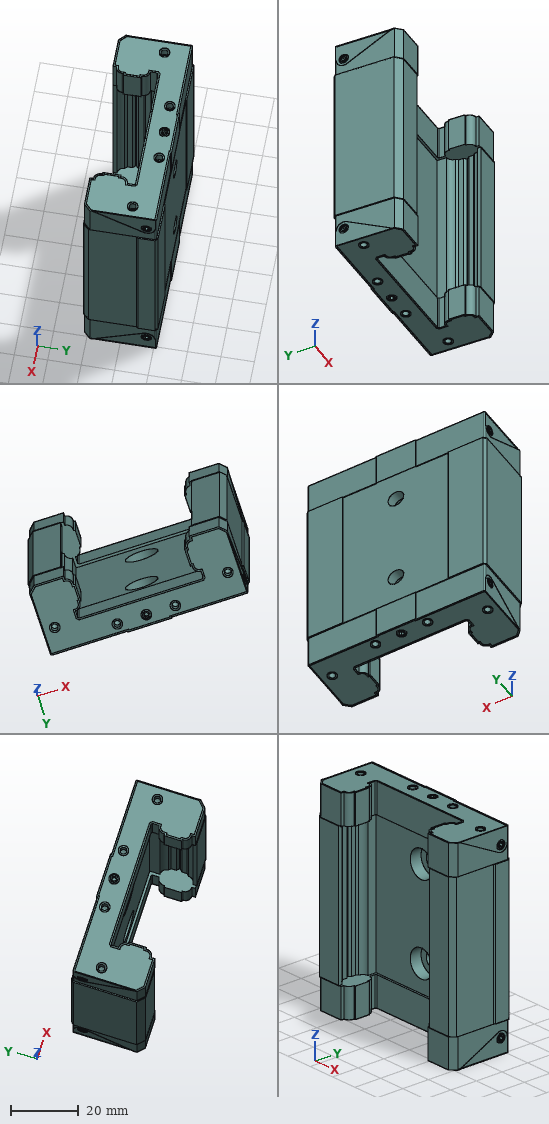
import cadquery as cq
import math

LENGTH = 73.05
CAP_LENGTH = 10.8
BLOCK_LENGTH = LENGTH - 2 * CAP_LENGTH
BLOCK_TOP = BLOCK_LENGTH / 2
BLOCK_HALF_WIDTH = 62.0 / 2
BACK_Y = 22.5 / 2
FRONT_Y = -BACK_Y
RAIL_AXIS_Y = -4.9

BLOCK_FRONT_CHAMFER = 2.1
BLOCK_BACK_CHAMFER = 0.8
RELIEF_HALF_WIDTH = 18.2
RELIEF_DEPTH = 0.2
PLAIN_SIDE_X = 30.6
STRIP_FRONT_Y = 5.3
CHANNEL_HALF_WIDTH = 20.3
CHANNEL_WEB_Y = 3.35

RACE_HALF_HEIGHT = 5.1
RACE_RADIUS = 2.0
RACE_ARC_END = RACE_HALF_HEIGHT - RACE_RADIUS
SHELF_STEP = 0.65
FLOOR_STEP = 0.7
SHELF_INNER_END = 0.9
FLOOR_HALF_HEIGHT = SHELF_INNER_END - FLOOR_STEP

MOUNT_SPACING = 32.0
MOUNT_DIAMETER = 5.3
COUNTERBORE_DIAMETER = 10.0
COUNTERBORE_DEPTH = 4.2

CAP_HALF_WIDTH = 30.6
CAP_FRONT_Y = FRONT_Y + 0.2
CAP_BACK_Y = BACK_Y - 0.45
CAP_FRONT_CHAMFER = 2.0
CAP_BACK_RADIUS = 0.6
CAP_PAD_HALF_WIDTH = 6.9
CAP_PAD_HEIGHT = 0.3
CAP_CHANNEL_HALF_WIDTH = 19.4
CAP_WEB_Y = 2.55
CAP_CORNER_CHAMFER = 0.4
LOBE_HALF_HEIGHT = 5.05
LOBE_RADIUS = 2.0
LOBE_ARC_END = LOBE_HALF_HEIGHT - LOBE_RADIUS
LIP_HALF_HEIGHT = 2.7
LIP_X = 16.95
FACE_MARGIN = 0.5
SIDE_FACE_MARGIN = 0.4
FACE_DEPTH = 0.1
FACE_Z = LENGTH / 2 - FACE_DEPTH

HOLE_PLACES = [(-26.8, 3.1), (-9.0, 7.8), (9.0, 7.8), (26.8, 3.1)]
HOLE_DIAMETER = 2.05
HOLE_DEPTH = 2.9
HOLE_TIP_ANGLE = 118
SEAT_DIAMETER = 3.1
SEAT_DEPTH = 0.2

SCREW_Y = 7.8
SCREW_DIAMETER = 3.1
SCREW_LENGTH = 3.65
SCREW_CHAMFER = 0.45
SOCKET_ACROSS_FLATS = 1.3
SOCKET_DEPTH = 1.45
SIDE_SCREW_Z = BLOCK_TOP + CAP_LENGTH / 2

RECESS_RADIUS = 2.4
RECESS_DEPTH = 0.1
RECESS_TIP_Y = -8.3


def corner_arc_middle(center_x, center_y, radius, x_sign, y_sign):
    """Middle point of a quarter circle in the quadrant given by the signs."""
    reach = radius * math.sqrt(0.5)
    return (center_x + x_sign * reach, center_y + y_sign * reach)


def leg_points(side, local_points):
    """Place points given relative to the rail axis on the +X (side 1) or -X (side -1) leg."""
    return [(side * x, RAIL_AXIS_Y + y) for x, y in local_points]


def raceway_cutter(side):
    """Groove along one leg: two ball tracks joined by a stepped relief."""
    wall = CHANNEL_HALF_WIDTH
    track = wall + RACE_RADIUS
    shelf = track + SHELF_STEP
    floor = shelf + FLOOR_STEP
    shelf_start = RACE_ARC_END - SHELF_STEP
    half = [
        (track, RACE_ARC_END),
        (shelf, shelf_start),
        (shelf, SHELF_INNER_END),
        (floor, FLOOR_HALF_HEIGHT),
    ]
    lower_half = [(x, -y) for x, y in reversed(half)]
    upper_mid = corner_arc_middle(wall, RACE_ARC_END, RACE_RADIUS, 1, 1)
    lower_mid = (upper_mid[0], -upper_mid[1])
    top = (wall, RACE_HALF_HEIGHT)
    bottom = (wall, -RACE_HALF_HEIGHT)
    points = leg_points(side, [top, upper_mid, *half, *lower_half, lower_mid, bottom])
    start, first_mid, *steps, last_mid, end = points
    outline = cq.Workplane("XY").moveTo(*start).threePointArc(first_mid, steps[0])
    for point in steps[1:]:
        outline = outline.lineTo(*point)
    outline = outline.threePointArc(last_mid, end).close()
    return outline.extrude(BLOCK_TOP, both=True)


def mounting_hole(z):
    """Cutter for a through hole with its counterbore opening into the channel."""
    hole = cq.Workplane("XZ").center(0, z).circle(MOUNT_DIAMETER / 2).extrude(BACK_Y, both=True)
    bore = (
        cq.Workplane("XZ", origin=(0, CHANNEL_WEB_Y + COUNTERBORE_DEPTH, z))
        .circle(COUNTERBORE_DIAMETER / 2)
        .extrude(COUNTERBORE_DEPTH)
    )
    return hole.union(bore)


def make_block():
    """Carriage block; its +X side is cut back below the raised reference strip."""
    side_back_y = BACK_Y - BLOCK_BACK_CHAMFER
    side_front_y = FRONT_Y + BLOCK_FRONT_CHAMFER
    front_corner_x = BLOCK_HALF_WIDTH - BLOCK_FRONT_CHAMFER
    back_corner_x = BLOCK_HALF_WIDTH - BLOCK_BACK_CHAMFER
    strip_step = BLOCK_HALF_WIDTH - PLAIN_SIDE_X
    outline = [
        (-BLOCK_HALF_WIDTH, side_front_y),
        (-BLOCK_HALF_WIDTH, side_back_y),
        (-back_corner_x, BACK_Y),
        (-RELIEF_HALF_WIDTH, BACK_Y),
        (-RELIEF_HALF_WIDTH, BACK_Y - RELIEF_DEPTH),
        (RELIEF_HALF_WIDTH, BACK_Y - RELIEF_DEPTH),
        (RELIEF_HALF_WIDTH, BACK_Y),
        (back_corner_x, BACK_Y),
        (BLOCK_HALF_WIDTH, side_back_y),
        (BLOCK_HALF_WIDTH, STRIP_FRONT_Y),
        (PLAIN_SIDE_X, STRIP_FRONT_Y - strip_step),
        (PLAIN_SIDE_X, side_front_y - strip_step),
        (front_corner_x, FRONT_Y),
        (CHANNEL_HALF_WIDTH, FRONT_Y),
        (CHANNEL_HALF_WIDTH, CHANNEL_WEB_Y),
        (-CHANNEL_HALF_WIDTH, CHANNEL_WEB_Y),
        (-CHANNEL_HALF_WIDTH, FRONT_Y),
        (-front_corner_x, FRONT_Y),
    ]
    body = cq.Workplane("XY").polyline(outline).close().extrude(BLOCK_TOP, both=True)
    for side in (-1, 1):
        body = body.cut(raceway_cutter(side))
        body = body.cut(mounting_hole(side * MOUNT_SPACING / 2))
    return body


def add_lobe(path, wall_x, points):
    """Continue a path along the channel wall, round one lobe and back to the wall."""
    first, lower_mid, *straight, upper_mid, last = points
    path = path.lineTo(wall_x, first[1])
    if first[0] != wall_x:
        path = path.lineTo(*first)
    path = path.threePointArc(lower_mid, straight[0])
    for point in straight[1:]:
        path = path.lineTo(*point)
    path = path.threePointArc(upper_mid, last)
    if last[0] != wall_x:
        path = path.lineTo(wall_x, last[1])
    return path


def cap_outline(inset=0.0, side_inset=0.0):
    """Closed outline of an end cap, moved inward by the insets (side_inset on the outer sides)."""
    wall = CAP_CHANNEL_HALF_WIDTH + inset
    lobe_radius = LOBE_RADIUS - inset
    lobe_half_height = LOBE_HALF_HEIGHT - inset
    lobe_x = CAP_CHANNEL_HALF_WIDTH - lobe_radius
    lip_x = LIP_X + inset
    lip_half_height = LIP_HALF_HEIGHT - inset
    mid_x, mid_y = corner_arc_middle(CAP_CHANNEL_HALF_WIDTH, LOBE_ARC_END, lobe_radius, -1, 1)
    lobe = [
        (CAP_CHANNEL_HALF_WIDTH, -lobe_half_height),
        (mid_x, -mid_y),
        (lobe_x, -LOBE_ARC_END),
        (lobe_x, -lip_half_height),
        (lip_x, -lip_half_height),
        (lip_x, lip_half_height),
        (lobe_x, lip_half_height),
        (lobe_x, LOBE_ARC_END),
        (mid_x, mid_y),
        (CAP_CHANNEL_HALF_WIDTH, lobe_half_height),
    ]
    right = leg_points(1, lobe)
    left = leg_points(-1, reversed(lobe))

    side_x = CAP_HALF_WIDTH - side_inset
    front_y = CAP_FRONT_Y + inset
    back_y = CAP_BACK_Y - inset
    web_y = CAP_WEB_Y + inset
    front_chamfer = CAP_FRONT_CHAMFER - inset - side_inset + inset * math.sqrt(2)
    web_chamfer = CAP_CORNER_CHAMFER + inset * (2 - math.sqrt(2))
    back_radius = CAP_BACK_RADIUS - side_inset
    round_x = side_x - back_radius
    round_y = back_y - back_radius
    round_mid_x, round_mid_y = corner_arc_middle(round_x, round_y, back_radius, 1, 1)
    pad_half_width = CAP_PAD_HALF_WIDTH - inset
    pad_y = back_y + CAP_PAD_HEIGHT

    path = cq.Workplane("XY").moveTo(wall, front_y)
    path = add_lobe(path, wall, right)
    path = path.lineTo(wall, web_y - web_chamfer).lineTo(wall - web_chamfer, web_y)
    path = path.lineTo(web_chamfer - wall, web_y).lineTo(-wall, web_y - web_chamfer)
    path = add_lobe(path, -wall, left)
    path = path.lineTo(-wall, front_y).lineTo(front_chamfer - side_x, front_y)
    path = path.lineTo(-side_x, front_y + front_chamfer).lineTo(-side_x, round_y)
    path = path.threePointArc((-round_mid_x, round_mid_y), (-round_x, back_y))
    path = path.lineTo(-pad_half_width, back_y).lineTo(-pad_half_width, pad_y)
    path = path.lineTo(pad_half_width, pad_y).lineTo(pad_half_width, back_y)
    path = path.lineTo(round_x, back_y).threePointArc((round_mid_x, round_mid_y), (side_x, round_y))
    path = path.lineTo(side_x, front_y + front_chamfer).lineTo(side_x - front_chamfer, front_y)
    return path.close()


def blind_hole(x, y):
    """Drilled hole with a conical tip and a shallow flat seat, entering from the outer face."""
    radius = HOLE_DIAMETER / 2
    tip = radius / math.tan(math.radians(HOLE_TIP_ANGLE / 2))
    profile = [
        (0, 0),
        (SEAT_DIAMETER / 2, 0),
        (SEAT_DIAMETER / 2, -SEAT_DEPTH),
        (radius, -SEAT_DEPTH),
        (radius, -HOLE_DEPTH),
        (0, -HOLE_DEPTH - tip),
    ]
    drill = cq.Workplane("XZ").polyline(profile).close().revolve(360, (0, 0, 0), (0, 1, 0))
    return drill.translate((x, y, FACE_Z))


def screw_planes():
    """Entry planes of the three set screws of the +Z cap, each facing out of the cap."""
    side_x = CAP_HALF_WIDTH - RECESS_DEPTH
    return [
        cq.Plane(origin=(0, SCREW_Y, FACE_Z), xDir=(1, 0, 0), normal=(0, 0, 1)),
        cq.Plane(origin=(-side_x, SCREW_Y, SIDE_SCREW_Z), xDir=(0, 1, 0), normal=(-1, 0, 0)),
        cq.Plane(origin=(side_x, SCREW_Y, SIDE_SCREW_Z), xDir=(0, 1, 0), normal=(1, 0, 0)),
    ]


def screw_hole(plane):
    return cq.Workplane(plane).circle(SCREW_DIAMETER / 2).extrude(-SCREW_LENGTH)


def make_screw(plane):
    """Set screw with a hexagon socket; a 45 degree cone trims its outer edge to a chamfer."""
    radius = SCREW_DIAMETER / 2
    end_radius = radius - SCREW_CHAMFER
    blank = cq.Workplane(plane).circle(radius).extrude(-SCREW_LENGTH)
    cone = cq.Workplane(plane).circle(end_radius).workplane(offset=-SCREW_LENGTH)
    cone = cone.circle(end_radius + SCREW_LENGTH).loft()
    socket_diameter = SOCKET_ACROSS_FLATS / math.cos(math.pi / 6)
    socket = cq.Workplane(plane).polygon(6, socket_diameter).extrude(-SOCKET_DEPTH)
    return blank.intersect(cone).cut(socket)


def side_recess(side):
    """Teardrop: a circle round the screw, with a tangent edge running to the outer face."""
    top_z = LENGTH / 2
    to_tip_y = RECESS_TIP_Y - SCREW_Y
    to_tip_z = top_z - SIDE_SCREW_Z
    tip_distance = math.hypot(to_tip_y, to_tip_z)
    tangent_angle = math.atan2(to_tip_z, to_tip_y) + math.acos(RECESS_RADIUS / tip_distance)
    tangent_y = SCREW_Y + RECESS_RADIUS * math.cos(tangent_angle)
    tangent_z = SIDE_SCREW_Z + RECESS_RADIUS * math.sin(tangent_angle)
    lowest_mid_angle = (tangent_angle + 2 * math.pi) / 2
    mid_y = SCREW_Y + RECESS_RADIUS * math.cos(lowest_mid_angle)
    mid_z = SIDE_SCREW_Z + RECESS_RADIUS * math.sin(lowest_mid_angle)
    arc_end_y = SCREW_Y + RECESS_RADIUS
    return (
        cq.Workplane("YZ", origin=(side * CAP_HALF_WIDTH, 0, 0))
        .moveTo(RECESS_TIP_Y, top_z)
        .lineTo(tangent_y, tangent_z)
        .threePointArc((mid_y, mid_z), (arc_end_y, SIDE_SCREW_Z))
        .lineTo(CAP_BACK_Y, SIDE_SCREW_Z)
        .lineTo(CAP_BACK_Y, top_z)
        .close()
        .extrude(-side * RECESS_DEPTH)
    )


def make_cap():
    """End cap at the +Z end of the block."""
    body = cap_outline().extrude(CAP_LENGTH).translate((0, 0, BLOCK_TOP))
    face_recess = cap_outline(FACE_MARGIN, SIDE_FACE_MARGIN).extrude(FACE_DEPTH)
    body = body.cut(face_recess.translate((0, 0, FACE_Z)))
    for side in (-1, 1):
        body = body.cut(side_recess(side))
    for x, y in HOLE_PLACES:
        body = body.cut(blind_hole(x, y))
    for plane in screw_planes():
        body = body.cut(screw_hole(plane))
    return body


block = make_block()
upper_cap = make_cap()
upper_screws = [make_screw(plane) for plane in screw_planes()]

caps = [upper_cap, upper_cap.mirror("XY")]
set_screws = upper_screws + [screw.mirror("XY") for screw in upper_screws]

result = cq.Compound.makeCompound([body.val() for body in [block, *caps, *set_screws]])